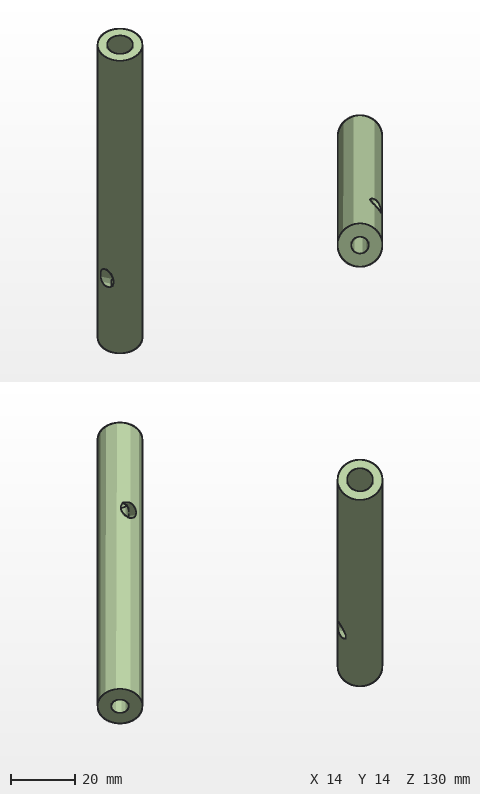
import cadquery as cq
import math

tube_diameter = 14.0
tube_length = 130.0
tube_radius = tube_diameter / 2

wide_bore_diameter = 8.0
wide_bore_depth = 30.0
narrow_bore_diameter = 5.4

port_diameter = 5.2
port_slope = 45.0
front_port_height = 32.0
rear_port_height = 88.0

FRONT = -1
REAR = 1
DOWNWARD = -1
UPWARD = 1


def make_tube():
    """Rod with the stepped bore cut along its axis."""
    rod = cq.Workplane("XY").circle(tube_radius).extrude(tube_length)
    return rod.faces(">Z").workplane().cboreHole(
        narrow_bore_diameter, wide_bore_diameter, wide_bore_depth
    )


def port_cutter(side, wall_height, vertical_sense):
    """Slanted cylinder entering the wall on one side and ending on the tube axis."""
    slope = math.radians(port_slope)
    inward = cq.Vector(0, -side * math.cos(slope), vertical_sense * math.sin(slope))
    wall_point = cq.Vector(0, side * tube_radius, wall_height)
    outside_length = tube_diameter
    inside_length = tube_radius / math.cos(slope)
    start = wall_point - inward * outside_length
    start_plane = cq.Plane(origin=start, xDir=(side, 0, 0), normal=inward)
    profile = cq.Workplane(start_plane).circle(port_diameter / 2)
    return profile.extrude(outside_length + inside_length)


result = (
    make_tube()
    .cut(port_cutter(FRONT, front_port_height, DOWNWARD))
    .cut(port_cutter(REAR, rear_port_height, UPWARD))
)